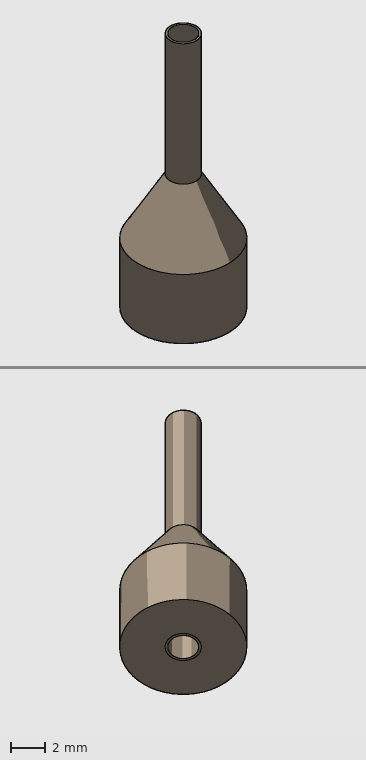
import cadquery as cq

total_height = 19.5

collar_diameter = 7.4
skirt_height = 4.93
collar_height = 9.5

tube_diameter = 2.1
tube_bore = 1.8


def make_tube():
    """Open tube running the full height of the ferrule."""
    return (
        cq.Workplane("XY")
        .circle(tube_diameter / 2)
        .circle(tube_bore / 2)
        .extrude(total_height)
    )


def make_collar():
    """Cylindrical skirt and cone, bored to fit around the tube."""
    tube_radius = tube_diameter / 2
    collar_radius = collar_diameter / 2
    return (
        cq.Workplane("XZ")
        .moveTo(tube_radius, 0)
        .lineTo(collar_radius, 0)
        .lineTo(collar_radius, skirt_height)
        .lineTo(tube_radius, collar_height)
        .close()
        .revolve(360, (0, 0, 0), (0, 1, 0))
    )


tube = make_tube()
collar = make_collar()

result = cq.Compound.makeCompound([tube.val(), collar.val()])